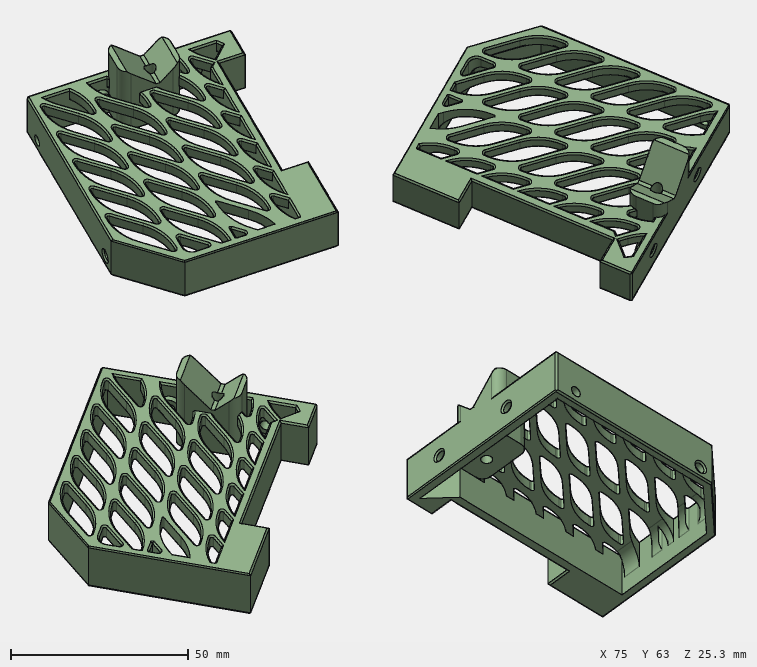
import cadquery as cq
import math

LENGTH = 75.0
WIDTH = 63.0
BODY_HEIGHT = 15.0
CORNER_CUT = 15.75
NOTCH_LEFT = 10.0
NOTCH_RIGHT = 54.15
NOTCH_Y = 55.0
EDGE_CHAMFER = 0.5
SIDE_BEVEL = 0.26

SIDE_WALL = 2.6
FRONT_WALL = 2.5
BACK_WALL = 3.0
PLATE_THICKNESS = 4.0
CAVITY_TOP = BODY_HEIGHT - PLATE_THICKNESS
NOTCH_CORNER_WALL = 1.65
PLATE_FILLET_RADIUS = 5.0

LEAF_HEIGHT = 12.75
LEAF_SPAN = 8.5
LEAF_ARC_RADIUS = 15.75
LEAF_TIP_RADIUS = 0.5
LEAF_RIB = 2.0
LEAF_PITCH = LEAF_SPAN + LEAF_RIB * math.sqrt(2)
ROW_PITCH = 15.15
ROW_SHIFT = 3.9
FIRST_LEAF_X = 4.1
LEAF_COLUMNS = (range(-1, 5), range(-2, 5), range(-3, 5), range(-2, 5))
PLAIN_LEAF = (2, 4)
PLAIN_ARC_RADIUS = 18.75
PLAIN_TIP_RADIUS = 0.26

TRIANGLE_COLUMN = 5
TRIANGLE_RADII = {
    1: (LEAF_TIP_RADIUS, 2.6, LEAF_TIP_RADIUS),
    2: (0, 0, LEAF_TIP_RADIUS),
}

BLOCK_LENGTH = 11.5
BLOCK_FRONT = 24.15
BLOCK_BACK = 43.1
BLOCK_HEIGHT = 25.3
BLOCK_BACK_HEIGHT = 21.8
BLOCK_CORNER_RADIUS = 3.0
VEE_Y = 35.5
VEE_Z = 16.35
VEE_FLAT = 1.2
BLOCK_HOLE_DIAMETER = 3.4

SCREW_DIAMETER = 3.3
COUNTERSINK = 0.5
BOSS_DIAMETER = 6.4
BOSS_LENGTH = 4.35
SIDE_HOLE_YS = (21.0, 49.05)
SIDE_HOLE_Z = 7.5
FRONT_HOLE_X = 7.4
FRONT_COUNTERSUNK_X = 55.05
FRONT_HOLE_Z = 3.9

CUT_MARGIN = 0.75

left = SIDE_WALL
right = LENGTH - SIDE_WALL
front = FRONT_WALL
back = NOTCH_Y - BACK_WALL
slant_inset = LENGTH - CORNER_CUT - FRONT_WALL * math.sqrt(2)
notch_inset = NOTCH_LEFT + NOTCH_Y - NOTCH_CORNER_WALL * math.sqrt(2)
CAVITY_OUTLINE = [
    (left, front),
    (slant_inset + front, front),
    (right, right - slant_inset),
    (right, back),
    (notch_inset - back, back),
    (left, notch_inset - left),
]


def polygon(points, z):
    return cq.Workplane("XY", origin=(0, 0, z)).polyline(points).close()


def round_corners(prism, corners, radii):
    """Fillet the vertical edges of a prism at the given corners; a zero radius stays sharp."""
    middle = prism.val().Center().z
    for (x, y), radius in zip(corners, radii):
        if radius:
            prism = prism.edges(cq.NearestToPointSelector((x, y, middle))).fillet(radius)
    return prism


def plate_cutter(profile, corners=(), radii=(), flare=EDGE_CHAMFER):
    """Cutter with a closed profile drawn at height 0, flaring out at 45 degrees at the top face."""
    neck = BODY_HEIGHT - flare
    prism = round_corners(profile.extrude(neck), corners, radii)
    if not flare:
        return prism
    rim = prism.faces(">Z").wires().vals()
    mouth = cq.Workplane("XY", origin=(0, 0, neck)).add(rim).toPending()
    return prism.union(mouth.extrude(flare, taper=-45))


def side_bevels(start, end):
    """Cutters for the top and bottom edges of the outer side that runs from start to end."""
    along = cq.Vector(end[0] - start[0], end[1] - start[1], 0)
    outward = along.cross(cq.Vector(0, 0, 1))
    cutters = []
    for z, inward in ((0, 1), (BODY_HEIGHT, -1)):
        plane = cq.Plane(origin=(*start, z), xDir=outward, normal=along)
        up = plane.yDir.z * inward
        triangle = [(0, 0), (-SIDE_BEVEL, 0), (0, up * EDGE_CHAMFER)]
        cutters.append(cq.Workplane(plane).polyline(triangle).close().extrude(along.Length))
    return cutters


def make_body():
    slant_start = (LENGTH - CORNER_CUT, 0)
    slant_end = (LENGTH, CORNER_CUT)
    outline = [
        (0, 0),
        slant_start,
        slant_end,
        (LENGTH, WIDTH),
        (NOTCH_RIGHT, WIDTH),
        (NOTCH_RIGHT, NOTCH_Y),
        (NOTCH_LEFT, NOTCH_Y),
        (NOTCH_LEFT, WIDTH),
        (0, WIDTH),
    ]
    body = polygon(outline, 0).extrude(BODY_HEIGHT)
    for corner in ((0, 0), (0, WIDTH)):
        body = body.edges(cq.NearestToPointSelector((*corner, BODY_HEIGHT / 2))).chamfer(EDGE_CHAMFER)
    notch_sides = cq.selectors.BoxSelector(
        (NOTCH_LEFT - CUT_MARGIN, NOTCH_Y, -CUT_MARGIN),
        (NOTCH_RIGHT + CUT_MARGIN, WIDTH, BODY_HEIGHT + CUT_MARGIN),
    )
    rims = body.faces("<Z or >Z")
    body = rims.edges("|X").add(rims.edges("|Y").edges(notch_sides)).chamfer(EDGE_CHAMFER)
    for start, end in ((slant_start, slant_end), (slant_end, (LENGTH, WIDTH)), ((0, WIDTH), (0, 0))):
        for cutter in side_bevels(start, end):
            body = body.cut(cutter)
    return body.cut(make_cavity())


def make_cavity():
    cavity = polygon(CAVITY_OUTLINE, -CUT_MARGIN).extrude(CAVITY_TOP + CUT_MARGIN)
    return cavity.faces(">Z").edges(">X").fillet(PLATE_FILLET_RADIUS)


def leaf_position(row, column):
    return FIRST_LEAF_X + column * LEAF_PITCH + row * ROW_SHIFT, FRONT_WALL + row * ROW_PITCH


def leaf(x, y, arc_radius, tip_radius, flare):
    """Leaf with its front tip at (x, y): two 45 degree sides, each bending level through an arc."""
    bend = math.radians(45)
    flat = LEAF_SPAN - arc_radius * math.tan(bend / 2)
    rise = arc_radius * (1 - math.cos(bend))
    mid_x = flat + arc_radius * math.sin(bend / 2)
    mid_y = arc_radius * (1 - math.cos(bend / 2))
    far_x = LEAF_SPAN + LEAF_HEIGHT
    far_y = LEAF_HEIGHT
    profile = (
        cq.Workplane("XY", origin=(x, y, 0))
        .lineTo(flat, 0)
        .threePointArc((mid_x, mid_y), (LEAF_SPAN + rise, rise))
        .lineTo(far_x, far_y)
        .lineTo(far_x - flat, far_y)
        .threePointArc((far_x - mid_x, far_y - mid_y), (far_y - rise, far_y - rise))
        .close()
    )
    tips = ((x, y), (x + far_x, y + far_y))
    return plate_cutter(profile, tips, (tip_radius, tip_radius), flare)


def cut_leaves(body):
    bounds = plate_cutter(polygon(CAVITY_OUTLINE, 0))
    plain_bounds = plate_cutter(polygon(CAVITY_OUTLINE, 0), flare=0)
    for row, columns in enumerate(LEAF_COLUMNS):
        for column in columns:
            x, y = leaf_position(row, column)
            if (row, column) == PLAIN_LEAF:
                opening = leaf(x, y, PLAIN_ARC_RADIUS, PLAIN_TIP_RADIUS, 0).intersect(plain_bounds)
            else:
                opening = leaf(x, y, LEAF_ARC_RADIUS, LEAF_TIP_RADIUS, EDGE_CHAMFER).intersect(bounds)
            body = body.cut(opening)
    return body


def cut_triangles(body):
    for row, radii in TRIANGLE_RADII.items():
        x, y = leaf_position(row, TRIANGLE_COLUMN)
        corners = [(x, y), (right, y), (right, y + right - x)]
        body = body.cut(plate_cutter(polygon(corners, 0), corners, radii))
    return body


def add_block(body):
    vee_front = VEE_Y - VEE_FLAT / 2
    vee_back = VEE_Y + VEE_FLAT / 2
    side_profile = [
        (BLOCK_FRONT, EDGE_CHAMFER),
        (BLOCK_FRONT, BLOCK_HEIGHT),
        (vee_front - (BLOCK_HEIGHT - VEE_Z), BLOCK_HEIGHT),
        (vee_front, VEE_Z),
        (vee_back, VEE_Z),
        (vee_back + (BLOCK_BACK_HEIGHT - VEE_Z), BLOCK_BACK_HEIGHT),
        (BLOCK_BACK, BLOCK_BACK_HEIGHT),
        (BLOCK_BACK, EDGE_CHAMFER),
    ]
    block = cq.Workplane("YZ").polyline(side_profile).close().extrude(BLOCK_LENGTH)
    footprint = (
        cq.Workplane("XY")
        .center(BLOCK_LENGTH / 2, (BLOCK_FRONT + BLOCK_BACK) / 2)
        .rect(BLOCK_LENGTH, BLOCK_BACK - BLOCK_FRONT)
        .extrude(BLOCK_HEIGHT)
        .edges("|Z")
        .fillet(BLOCK_CORNER_RADIUS)
    )
    hole = cq.Workplane("XY").center(BLOCK_LENGTH / 2, VEE_Y).circle(BLOCK_HOLE_DIAMETER / 2)
    return body.union(block.intersect(footprint)).cut(hole.extrude(BLOCK_HEIGHT))


def add_bosses(body):
    for y in SIDE_HOLE_YS:
        plane = cq.Workplane("YZ", origin=(SIDE_WALL / 2, y, SIDE_HOLE_Z))
        body = body.union(plane.circle(BOSS_DIAMETER / 2).extrude(BOSS_LENGTH - SIDE_WALL / 2))
    return body


def screw_hole(plane, depth, countersunk):
    """Cutter for a screw hole that runs from the plane's origin along its normal."""
    hole = cq.Workplane(plane).circle(SCREW_DIAMETER / 2).extrude(depth)
    if countersunk:
        mouth = cq.Workplane(plane).circle(SCREW_DIAMETER / 2 + COUNTERSINK)
        hole = hole.union(mouth.extrude(COUNTERSINK, taper=45))
    return hole


def cut_screw_holes(body):
    for y in SIDE_HOLE_YS:
        plane = cq.Plane(origin=(0, y, SIDE_HOLE_Z), normal=(1, 0, 0))
        body = body.cut(screw_hole(plane, BOSS_LENGTH, True))
    for x, countersunk in ((FRONT_HOLE_X, False), (FRONT_COUNTERSUNK_X, True)):
        plane = cq.Plane(origin=(x, 0, FRONT_HOLE_Z), normal=(0, 1, 0))
        body = body.cut(screw_hole(plane, FRONT_WALL, countersunk))
    return body


part = make_body()
part = cut_leaves(part)
part = cut_triangles(part)
part = add_block(part)
part = add_bosses(part)
result = cut_screw_holes(part)